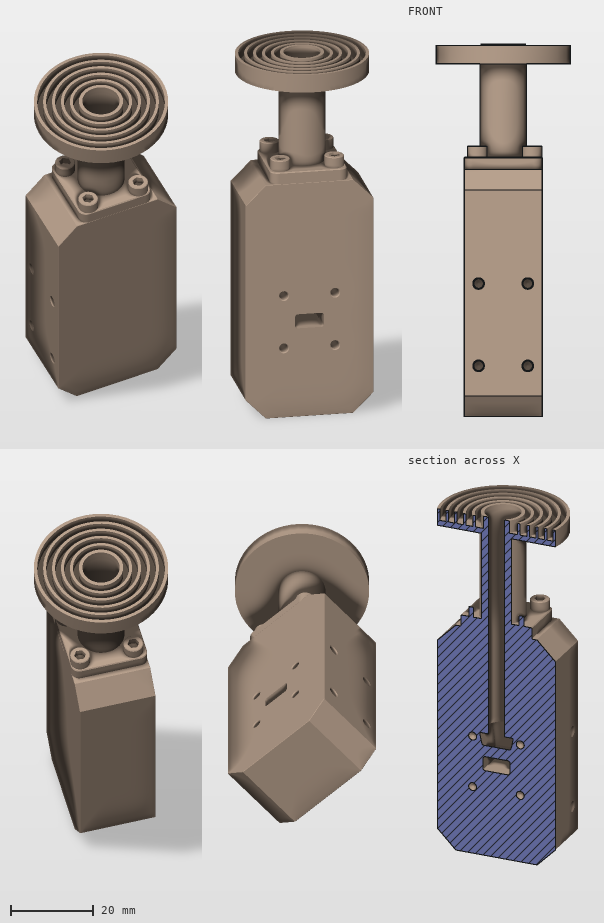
import cadquery as cq
import math

body_width = 19.0
body_depth = 31.5
body_height = 60.0
body_bevel = 5.0
body_edge_break = 0.1

plate_thickness = 3.0
plate_corner_radius = 2.0
plate_edge_break = 0.23
screw_pitch = 13.4
screw_center_x = 0.4
screw_head_diameter = 4.8
screw_head_height = 2.7
screw_edge_break = 0.2
socket_width = 2.5
socket_depth = 1.8
socket_angle = 54.0

total_height = 90.3
tube_diameter = 11.4
disc_diameter = 32.6
disc_thickness = 4.5
lip_height = 0.3
lip_diameter = 10.75
bore_diameter = 9.0
groove_count = 5
groove_pitch = 2.2
groove_width = 1.4
groove_depth = 3.0

guide_width = 7.1
flare_slope = 8.7
port_width = guide_width
port_height = 3.6
port_corner_radius = 0.6
port_z = 24.5

front_hole_diameter = 2.35
hole_depth = 5.4
hole_edge_break = 0.23
drill_point_angle = 118.0
front_hole_pitch_x = 11.9
front_hole_pitch_z = 20.0
front_hole_center_z = 22.3
port_hole_diameter = 2.1
port_hole_pitch_y = 12.6
port_hole_pitch_z = 13.5

plate_top = body_height + plate_thickness
disc_top = total_height - lip_height
disc_bottom = disc_top - disc_thickness


def cylinder(diameter, bottom, top):
    return cq.Workplane("XY").workplane(offset=bottom).circle(diameter / 2).extrude(top - bottom)


def make_body():
    block = cq.Workplane("XY").box(body_width, body_depth, body_height, centered=(True, True, False))
    block = block.edges("|X").chamfer(body_bevel)
    return block.faces("<X or >X").edges().chamfer(body_edge_break)


def make_plate():
    start = cq.Workplane("XY").workplane(offset=body_height)
    plate = start.rect(body_width, body_width).extrude(plate_thickness)
    plate = plate.edges("|Z").fillet(plate_corner_radius)
    return plate.faces(">Z").edges().chamfer(plate_edge_break)


def make_screw_head(x, y):
    """Cylindrical head with a hexagonal socket."""
    top = plate_top + screw_head_height
    head = cylinder(screw_head_diameter, plate_top, top).faces(">Z").edges().chamfer(screw_edge_break)
    socket_corner_diameter = socket_width / math.cos(math.pi / 6)
    socket = (
        cq.Workplane("XY")
        .workplane(offset=top)
        .polygon(6, socket_corner_diameter)
        .extrude(-socket_depth)
        .rotate((0, 0, 0), (0, 0, 1), socket_angle)
    )
    return head.cut(socket).translate((x, y, 0))


def make_horn():
    """Tube and disc, with a raised central lip and concentric grooves around it."""
    horn = cylinder(tube_diameter, plate_top, disc_bottom)
    horn = horn.union(cylinder(disc_diameter, disc_bottom, disc_top))
    horn = horn.union(cylinder(lip_diameter, disc_top, total_height))
    groove_bottom = disc_top - groove_depth
    for index in range(groove_count):
        inner_diameter = lip_diameter + 2 * groove_pitch * index
        outer_diameter = inner_diameter + 2 * groove_width
        core = cylinder(inner_diameter, groove_bottom, disc_top)
        groove = cylinder(outer_diameter, groove_bottom, disc_top).cut(core)
        horn = horn.cut(groove)
    return horn


def make_guide():
    """Square guide that flares upward into the round bore and is closed level with the port floor."""
    flare_bottom = port_z + port_height / 2
    flare_height = (bore_diameter - guide_width) / 2 / math.tan(math.radians(flare_slope))
    flare_top = flare_bottom + flare_height
    square = cq.Sketch().rect(guide_width, guide_width)
    start = cq.Workplane("XY").workplane(offset=flare_bottom).placeSketch(square)
    guide = start.extrude(-port_height)
    flare = start.extrude(flare_height, taper=-flare_slope)
    return guide.union(flare).union(cylinder(bore_diameter, flare_top, total_height))


def make_port():
    """Rounded rectangular opening from the -X face to the square guide."""
    length = body_width / 2
    port = cq.Workplane("XY").box(length, port_width, port_height)
    return port.edges("|X").fillet(port_corner_radius).translate((-length / 2, 0, port_z))


def drilled_hole(diameter, position, direction):
    """Blind hole with a bevelled mouth and a conical drill point."""
    point_length = diameter / 2 / math.tan(math.radians(drill_point_angle / 2))
    start = cq.Vector(*position)
    axis = cq.Vector(*direction)
    shank = cq.Solid.makeCylinder(diameter / 2, hole_depth, start, axis)
    point = cq.Solid.makeCone(diameter / 2, 0, point_length, start + axis * hole_depth, axis)
    mouth = cq.Solid.makeCone(diameter / 2 + hole_edge_break, diameter / 2, hole_edge_break, start, axis)
    return cq.Workplane(obj=shank.fuse(point, mouth))


sides = [(-1, -1), (-1, 1), (1, -1), (1, 1)]

result = make_body().union(make_plate()).union(make_horn())
for side_x, side_y in sides:
    screw_x = screw_center_x + side_x * screw_pitch / 2
    screw_y = side_y * screw_pitch / 2
    result = result.union(make_screw_head(screw_x, screw_y))

result = result.cut(make_guide()).cut(make_port())

for side_a, side_b in sides:
    hole_x = side_a * front_hole_pitch_x / 2
    hole_z = front_hole_center_z + side_b * front_hole_pitch_z / 2
    result = result.cut(drilled_hole(front_hole_diameter, (hole_x, -body_depth / 2, hole_z), (0, 1, 0)))

    hole_y = side_a * port_hole_pitch_y / 2
    hole_z = port_z + side_b * port_hole_pitch_z / 2
    result = result.cut(drilled_hole(port_hole_diameter, (-body_width / 2, hole_y, hole_z), (1, 0, 0)))